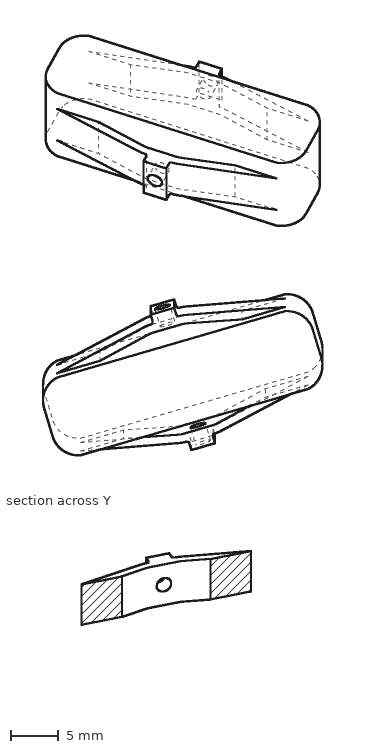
import cadquery as cq
import math

body_length = 29.28
body_width = 8.6
body_height = 10.0
corner_radius = 2.8
corner_inset = 2.23

overall_width = 15.0
arm_height = body_height / 2
arm_inner_foot = 7.73
arm_inner_y = 5.6
arm_outer_y = 6.5
inner_flat_half = 1.58
inner_bend_radius = 2.5
outer_bend_radius = inner_bend_radius + arm_outer_y - arm_inner_y
lug_width = 2.58
lug_fillet = 0.25
hole_diameter = 1.6

body_side = body_width / 2
arm_tip = body_length / 2 - corner_inset
lug_half = lug_width / 2
lug_end = overall_width / 2
outer_bend_start = lug_half + lug_fillet


def bend_angle(start_x, start_y, radius, foot_x):
    """Angle of the line from the body foot that is tangent to a bend at start_x."""
    run = foot_x - start_x
    rise = body_side - (start_y - radius)
    return math.atan2(run, rise) - math.acos(radius / math.hypot(run, rise))


def on_bend(start_x, start_y, radius, angle):
    """Point on a bend, with the angle measured from its flat end."""
    x = start_x + radius * math.sin(angle)
    y = start_y - radius * (1 - math.cos(angle))
    return x, y


def mirrored(point):
    return -point[0], point[1]


def make_body():
    corner_drop = corner_radius - math.sqrt(corner_radius**2 - (corner_radius - corner_inset) ** 2)
    rounded = (
        cq.Workplane("XY")
        .box(body_length, body_width + 2 * corner_drop, body_height)
        .edges("|Z")
        .fillet(corner_radius)
    )
    return rounded.intersect(cq.Workplane("XY").box(body_length, body_width, body_height))


def make_arm():
    outer = (outer_bend_start, arm_outer_y, outer_bend_radius)
    inner = (inner_flat_half, arm_inner_y, inner_bend_radius)
    outer_angle = bend_angle(*outer, arm_tip)
    inner_angle = bend_angle(*inner, arm_inner_foot)
    outer_mid = on_bend(*outer, outer_angle / 2)
    outer_end = on_bend(*outer, outer_angle)
    inner_mid = on_bend(*inner, inner_angle / 2)
    inner_end = on_bend(*inner, inner_angle)
    outer_start = (outer_bend_start, arm_outer_y)
    inner_start = (inner_flat_half, arm_inner_y)
    fillet_top = (lug_half, arm_outer_y + lug_fillet)
    fillet_reach = lug_fillet * (1 - math.sqrt(0.5))
    fillet_mid = (lug_half + fillet_reach, arm_outer_y + fillet_reach)

    profile = (
        cq.Workplane("XY")
        .moveTo(arm_tip, body_side)
        .lineTo(*outer_end)
        .threePointArc(outer_mid, outer_start)
        .threePointArc(fillet_mid, fillet_top)
        .lineTo(lug_half, lug_end)
        .lineTo(-lug_half, lug_end)
        .lineTo(*mirrored(fillet_top))
        .threePointArc(mirrored(fillet_mid), mirrored(outer_start))
        .threePointArc(mirrored(outer_mid), mirrored(outer_end))
        .lineTo(-arm_tip, body_side)
        .lineTo(-arm_inner_foot, body_side)
        .lineTo(*mirrored(inner_end))
        .threePointArc(mirrored(inner_mid), mirrored(inner_start))
        .lineTo(*inner_start)
        .threePointArc(inner_mid, inner_end)
        .lineTo(arm_inner_foot, body_side)
        .lineTo(arm_tip, body_side)
        .close()
    )
    arm = profile.extrude(arm_height / 2, both=True)
    hole = cq.Workplane("XZ").circle(hole_diameter / 2).extrude(overall_width / 2, both=True)
    return arm.cut(hole)


arm = make_arm()
result = make_body().union(arm).union(arm.mirror("XZ"))